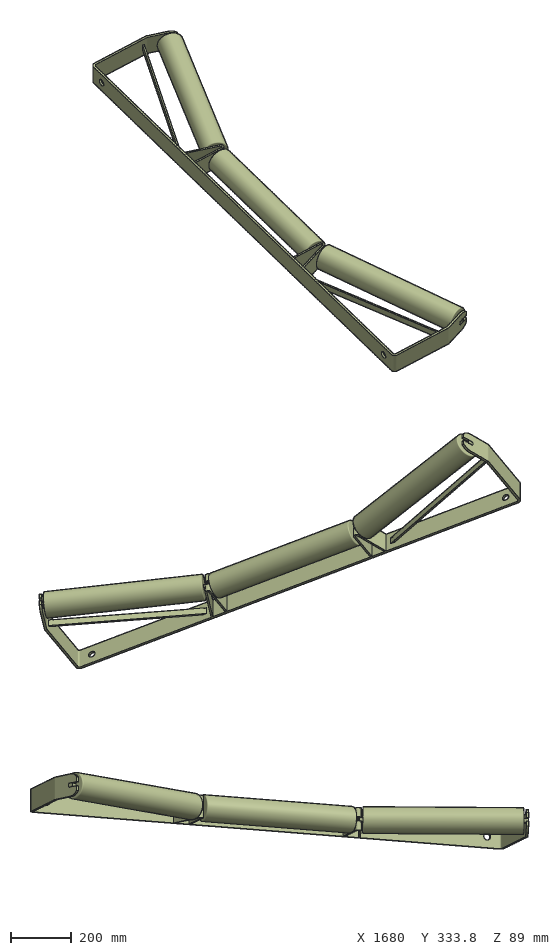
import cadquery as cq
import math

LENGTH = 1680.0
BAR_HEIGHT = 75.0
BAR_THICKNESS = 8.0
CORNER_RADIUS = 13.0
BEND_Y = 225.0
BEND_RADIUS = 15.0
TIP_HEIGHT = 30.0
HOLE_DIAMETER = 24.0
HOLE_X = 783.0

STRUT_HEIGHT = 25.0
STRUT_THICKNESS = 6.0
STRUT_TOP_Y = 212.0
STRUT_FOOT_X = 348.0

TILT = 20.0
ROLLER_DIAMETER = 89.0
ROLLER_LENGTH = 531.0
ROLLER_EDGE = 3.0
SIDE_ROLLER_X = 550.0
SIDE_ROLLER_Y = 202.0
CENTRE_ROLLER_Y = 100.0
SHAFT_DIAMETER = 20.0
SHAFT_FLATS = 13.0

BRACKET_THICKNESS = 6.0
BRACKET_TOP_Y = 128.0
BRACKET_FOLD_RADIUS = 7.0
SHAFT_HALF = 277.0

HALF_LENGTH = LENGTH / 2
SIN_TILT = math.sin(math.radians(TILT))
COS_TILT = math.cos(math.radians(TILT))
PLATE_REACH = (HALF_LENGTH - SIDE_ROLLER_X) * COS_TILT + (BEND_Y - SIDE_ROLLER_Y) * SIN_TILT
TIP_RADIUS = BAR_HEIGHT / 2


def place_side(shape):
    """Move a shape from roller coordinates to the right-hand side roller."""
    return shape.rotate((0, 0, 0), (0, 0, 1), TILT).translate((SIDE_ROLLER_X, SIDE_ROLLER_Y, 0))


def place_centre(shape):
    """Move a shape from roller coordinates to the centre roller."""
    return shape.translate((0, CENTRE_ROLLER_Y, 0))


def both_sides(shape):
    """The shape and its mirror image in the YZ plane."""
    return [shape, shape.mirror("YZ")]


def side_point(along, across):
    """Point in the XY plane, given along and across the right-hand side roller axis."""
    return (
        SIDE_ROLLER_X + along * COS_TILT - across * SIN_TILT,
        SIDE_ROLLER_Y + along * SIN_TILT + across * COS_TILT,
    )


def plate(points, height):
    """Flat outline in XY, thickened equally above and below Z = 0."""
    return cq.Workplane("XY").polyline(points).close().extrude(height / 2, both=True)


def shaft(left_end, right_end):
    """Round shaft with two flats, along X."""
    length = right_end - left_end
    bar = cq.Workplane("YZ", origin=(left_end, 0, 0)).circle(SHAFT_DIAMETER / 2).extrude(length)
    flats = cq.Workplane("XY").box(LENGTH, SHAFT_DIAMETER, SHAFT_FLATS)
    return bar.intersect(flats)


def shaft_slot(start, end):
    """Cutter for a slot that seats a shaft and is open towards +Y."""
    depth = ROLLER_DIAMETER
    opening = cq.Workplane("XY").box(end - start, depth, SHAFT_FLATS)
    return shaft(start, end).union(opening.translate(((start + end) / 2, depth / 2, 0)))


def roller(left_end, right_end):
    """Roller shell with softened rims, on its shaft."""
    shell = (
        cq.Workplane("YZ", origin=(-ROLLER_LENGTH / 2, 0, 0))
        .circle(ROLLER_DIAMETER / 2)
        .extrude(ROLLER_LENGTH)
        .edges()
        .fillet(ROLLER_EDGE)
    )
    return shell.union(shaft(left_end, right_end))


def edges_at(y):
    """Selector for the edges parallel to Z at the given Y."""
    margin = 0.2
    return cq.selectors.BoxSelector(
        (-LENGTH, y - margin, -BAR_HEIGHT), (LENGTH, y + margin, BAR_HEIGHT)
    ) & cq.selectors.ParallelDirSelector(cq.Vector(0, 0, 1))


def bent_bar():
    """Base bar with both ends bent upright and then inwards."""
    inner_x = HALF_LENGTH - BAR_THICKNESS
    inner_bend_y = BEND_Y - BAR_THICKNESS * math.tan(math.radians(TILT / 2))
    right_half = [
        (HALF_LENGTH, 0),
        (HALF_LENGTH, BEND_Y),
        side_point(PLATE_REACH, TIP_HEIGHT),
        side_point(PLATE_REACH - BAR_THICKNESS, TIP_HEIGHT),
        (inner_x, inner_bend_y),
        (inner_x, BAR_THICKNESS),
    ]
    left_half = [(-x, y) for x, y in reversed(right_half)]
    bar = plate(right_half + left_half, BAR_HEIGHT)
    outer_radii = [(0, CORNER_RADIUS), (BEND_Y, BEND_RADIUS)]
    inner_radii = [
        (BAR_THICKNESS, CORNER_RADIUS - BAR_THICKNESS),
        (inner_bend_y, BEND_RADIUS - BAR_THICKNESS),
    ]
    for y, radius in outer_radii + inner_radii:
        bar = bar.edges(edges_at(y)).fillet(radius)
    return bar


def tip_rounding():
    """Cutter that rounds the tip of an end plate about the roller axis."""
    start = PLATE_REACH - 2 * BAR_THICKNESS
    span = 3 * BAR_THICKNESS
    corners = cq.Workplane("XY").box(span, BAR_HEIGHT, 2 * BAR_HEIGHT)
    corners = corners.translate((start + span / 2, BAR_HEIGHT / 2, 0))
    round_tip = cq.Workplane("YZ", origin=(start, 0, 0)).circle(TIP_RADIUS).extrude(span)
    return corners.cut(round_tip)


def mounting_holes():
    """Cutter for the hole near each end of the base."""
    return (
        cq.Workplane("XZ", origin=(0, BAR_THICKNESS, 0))
        .pushPoints([(-HOLE_X, 0), (HOLE_X, 0)])
        .circle(HOLE_DIAMETER / 2)
        .extrude(BAR_THICKNESS)
    )


def bracket():
    """Inverted V between the centre roller and the right-hand side roller."""
    roller_face = -SHAFT_HALF + BRACKET_THICKNESS

    def leg_point(along, y):
        across = (y - SIDE_ROLLER_Y - along * SIN_TILT) / COS_TILT
        return side_point(along, across)

    inner_top = BRACKET_TOP_Y - BRACKET_THICKNESS
    outline = [
        (SHAFT_HALF - BRACKET_THICKNESS, BAR_THICKNESS),
        (SHAFT_HALF - BRACKET_THICKNESS, BRACKET_TOP_Y),
        leg_point(roller_face, BRACKET_TOP_Y),
        leg_point(roller_face, BAR_THICKNESS),
        leg_point(-SHAFT_HALF, BAR_THICKNESS),
        leg_point(-SHAFT_HALF, inner_top),
        (SHAFT_HALF, inner_top),
        (SHAFT_HALF, BAR_THICKNESS),
    ]
    return plate(outline, BAR_HEIGHT).edges(edges_at(BRACKET_TOP_Y)).fillet(BRACKET_FOLD_RADIUS)


def strut():
    """Diagonal flat from the upright end to the base."""
    wall_x = HALF_LENGTH - BAR_THICKNESS
    slope = math.atan2(STRUT_TOP_Y - BAR_THICKNESS, wall_x - STRUT_FOOT_X)
    drop = STRUT_THICKNESS / math.cos(slope)
    run = STRUT_THICKNESS / math.sin(slope)
    outline = [
        (wall_x, STRUT_TOP_Y),
        (STRUT_FOOT_X, BAR_THICKNESS),
        (STRUT_FOOT_X + run, BAR_THICKNESS),
        (wall_x, STRUT_TOP_Y - drop),
    ]
    return plate(outline, STRUT_HEIGHT)


def build_frame():
    """Bent bar, brackets and struts welded into one body, with slots for the shafts."""
    frame = bent_bar().cut(mounting_holes())
    for part in both_sides(bracket()) + both_sides(strut()):
        frame = frame.union(part)
    outer_slot = shaft_slot(PLATE_REACH - 2 * BAR_THICKNESS, PLATE_REACH + BAR_THICKNESS)
    inner_slot = shaft_slot(-SHAFT_HALF, -SHAFT_HALF + BRACKET_THICKNESS)
    centre_slot = shaft_slot(SHAFT_HALF - BRACKET_THICKNESS, SHAFT_HALF)
    cutters = [
        place_side(tip_rounding()),
        place_side(outer_slot),
        place_side(inner_slot),
        place_centre(centre_slot),
    ]
    for cutter in cutters:
        for copy in both_sides(cutter):
            frame = frame.cut(copy)
    return frame


frame_body = build_frame()
centre_roller = place_centre(roller(-SHAFT_HALF, SHAFT_HALF))
side_rollers = both_sides(place_side(roller(-SHAFT_HALF, PLATE_REACH)))

result = cq.Compound.makeCompound(
    [frame_body.val(), centre_roller.val(), *[side.val() for side in side_rollers]]
)